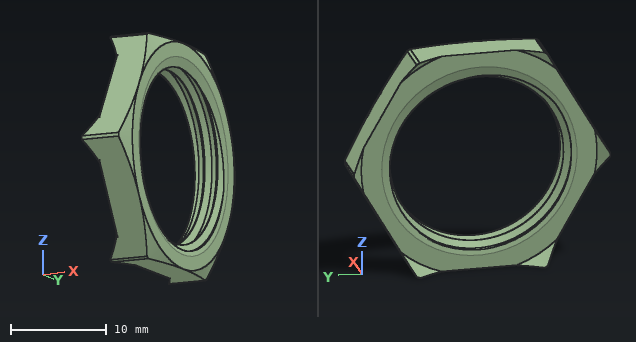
import cadquery as cq
import math

across_flats = 24.0
tip_radius = 13.75
height = 5.03
tooth_height = 1.43
tooth_root_radius = 12.65
back_chamfer_height = 0.75

pitch = 1.5
minor_radius = 9.25
major_radius = 9.95
crest_width = 0.05
root_width = 0.52
thread_start = -1.2
countersink_radius = 10.48
countersink_depth = 0.3

flat_distance = across_flats / 2
corner_span = across_flats / math.cos(math.pi / 6)


def turned(points):
    """Revolve an outline of (x, radius) points about the X axis."""
    return cq.Workplane("XY").polyline(points).close().revolve(360, (0, 0, 0), (1, 0, 0))


def hexagon_blank():
    """Hexagon with flats facing +Z and -Z, its corners blunted and its back chamfered."""
    hexagon = cq.Workplane("YZ").polygon(6, corner_span).extrude(height)
    envelope = turned([
        (0, 0),
        (0, tip_radius),
        (height - back_chamfer_height, tip_radius),
        (height, flat_distance),
        (height, 0),
    ])
    return hexagon.intersect(envelope)


def bearing_recess():
    """Dished recess that leaves a pointed tooth on each hexagon corner."""
    return turned([
        (0, 0),
        (0, tip_radius),
        (tooth_height, tooth_root_radius),
        (tooth_height, 0),
    ])


def bore():
    """Plain through hole at the minor radius."""
    return cq.Workplane("YZ").circle(minor_radius).extrude(height)


def bearing_countersink():
    """Countersink at the bearing face, clear of everything in front of it."""
    return turned([
        (0, 0),
        (0, countersink_radius),
        (tooth_height, countersink_radius),
        (tooth_height + countersink_depth, minor_radius),
        (tooth_height + countersink_depth, 0),
    ])


def back_countersink():
    """The same countersink at the back face."""
    return turned([
        (height, 0),
        (height, countersink_radius),
        (height - countersink_depth, minor_radius),
        (height - countersink_depth, 0),
    ])


def thread_groove():
    """Trapezoidal groove on a helix long enough to run out past both faces."""
    overlap = 0.03
    flank_slope = (pitch - crest_width - root_width) / 2 / (major_radius - minor_radius)
    mouth_radius = minor_radius - overlap
    half_root = root_width / 2
    half_mouth = half_root + flank_slope * (major_radius - mouth_radius)
    length = height + pitch - thread_start
    helix = cq.Workplane(cq.Wire.makeHelix(pitch, length, minor_radius))
    groove = (
        cq.Workplane("XZ")
        .polyline([
            (mouth_radius, -half_mouth),
            (major_radius, -half_root),
            (major_radius, half_root),
            (mouth_radius, half_mouth),
        ])
        .close()
        .sweep(helix, isFrenet=True)
    )
    return groove.rotate((0, 0, 0), (0, 1, 0), 90).translate((thread_start, 0, 0))


result = hexagon_blank().cut(bearing_recess())
result = result.cut(thread_groove()).cut(bore())
result = result.cut(bearing_countersink()).cut(back_countersink())